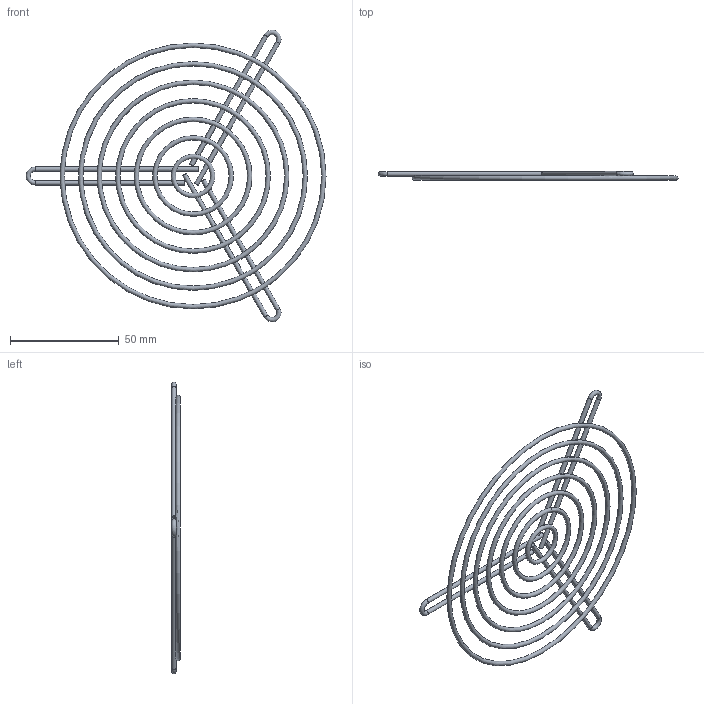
import cadquery as cq

wire_diameter = 2.0
weld_overlap = 0.015

outer_ring_radius = 60.0
ring_pitch = 8.5
ring_count = 7

leg_count = 3
leg_bend_distance = 72.5
leg_half_gap = 3.15
long_end_overshoot = 2.5
short_end_setback = 4.0

wire_radius = wire_diameter / 2
leg_plane_y = wire_diameter - weld_overlap
leg_angle_step = 360 / leg_count

axis_start = (0, 0, 0)
axis_end = (0, 1, 0)


def make_ring(radius):
    """Closed round-wire ring about the Y axis, centred on Y = 0."""
    section = cq.Workplane("XY").moveTo(radius, 0).circle(wire_radius)
    return section.revolve(360, axis_start, axis_end)


def make_leg():
    """Hairpin of wire along -X, with its bend outward and one wire end longer."""
    path = (
        cq.Workplane("XZ", origin=(0, leg_plane_y, 0))
        .moveTo(long_end_overshoot, leg_half_gap)
        .lineTo(-leg_bend_distance, leg_half_gap)
        .threePointArc(
            (-leg_bend_distance - leg_half_gap, 0),
            (-leg_bend_distance, -leg_half_gap),
        )
        .lineTo(-short_end_setback, -leg_half_gap)
    )
    start = (long_end_overshoot, leg_plane_y, leg_half_gap)
    section = cq.Workplane("YZ", origin=start).circle(wire_radius)
    return section.sweep(path)


def make_grille():
    """Evenly spaced hairpin legs joined by concentric rings in front of them."""
    grille = cq.Workplane("XY")
    for index in range(leg_count):
        leg = make_leg().rotate(axis_start, axis_end, index * leg_angle_step)
        grille = grille.add(leg)
    for index in range(ring_count):
        grille = grille.add(make_ring(outer_ring_radius - index * ring_pitch))
    return grille.combine().solids()


result = make_grille()